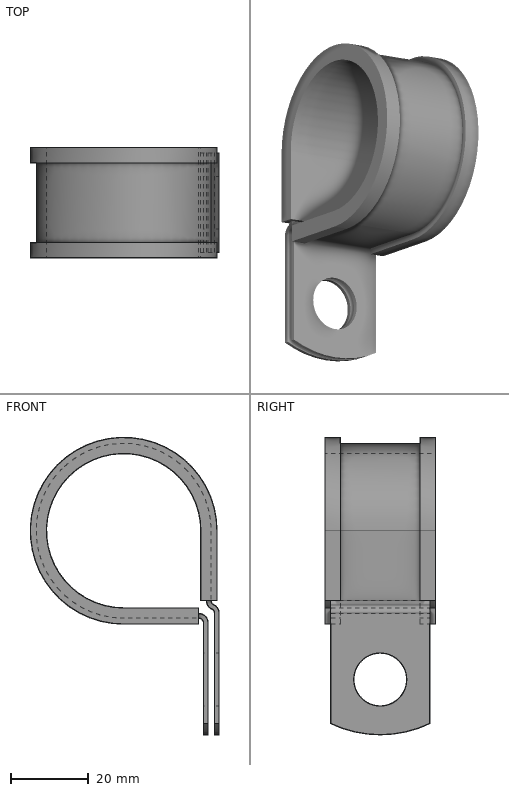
import cadquery as cq
import math

outer_radius = 24.0
cushion_thickness = 4.2
cushion_width = 28.45
flange_width = 4.0
down_leg_length = 18.0
side_leg_length = 19.3

strap_thickness = 1.2
strap_width = 25.55
strap_outer_radius = 22.5

outer_tab_face = 24.55
inner_tab_face = 21.7
tab_bottom = outer_radius - 76.5
tab_end_sagitta = 2.9
joggle_height = 3.2
hole_diameter = 13.5
hole_above_bottom = 14.2
envelope_depth = 2 * outer_radius

strap_inner_radius = strap_outer_radius - strap_thickness
bend_radius = inner_tab_face - side_leg_length
bend_inner_radius = bend_radius - strap_thickness
diagonal = math.sqrt(0.5)


def extrude_centered(outline, width):
    """Extrude an XZ outline by the given width, centered on Y = 0."""
    return outline.extrude(width / 2, both=True)


def wrapped_band(outer, inner, width):
    """Three-quarter ring with a straight leg at each end."""
    outline = (
        cq.Workplane("XZ")
        .moveTo(outer, -down_leg_length)
        .lineTo(outer, 0)
        .threePointArc((-outer * diagonal, outer * diagonal), (0, -outer))
        .lineTo(side_leg_length, -outer)
        .lineTo(side_leg_length, -inner)
        .lineTo(0, -inner)
        .threePointArc((-inner * diagonal, inner * diagonal), (inner, 0))
        .lineTo(inner, -down_leg_length)
        .close()
    )
    return extrude_centered(outline, width)


def cushion():
    body = wrapped_band(outer_radius, outer_radius - cushion_thickness, cushion_width)
    channel_width = cushion_width - 2 * flange_width
    return body.cut(wrapped_band(outer_radius, strap_outer_radius, channel_width))


def inner_tab():
    """Tab that turns a quarter circle down from the side leg."""
    bend_z = -strap_inner_radius - bend_radius
    outline = (
        cq.Workplane("XZ")
        .moveTo(side_leg_length, -strap_inner_radius)
        .radiusArc((inner_tab_face, bend_z), bend_radius)
        .lineTo(inner_tab_face, tab_bottom)
        .lineTo(inner_tab_face - strap_thickness, tab_bottom)
        .lineTo(inner_tab_face - strap_thickness, bend_z)
        .radiusArc((side_leg_length, -strap_outer_radius), -bend_inner_radius)
        .close()
    )
    return extrude_centered(outline, strap_width)


def outer_tab():
    """Tab that steps outward below the down leg through two equal, opposite arcs."""
    offset = outer_tab_face - strap_outer_radius
    bend_angle = 2 * math.atan(offset / joggle_height)
    center_radius = joggle_height / (2 * math.sin(bend_angle))
    small_radius = center_radius - strap_thickness / 2
    large_radius = center_radius + strap_thickness / 2
    joggle_bottom = -down_leg_length - joggle_height

    middle_x = (outer_tab_face + strap_outer_radius - strap_thickness) / 2
    middle_z = -down_leg_length - joggle_height / 2
    half_dx = strap_thickness / 2 * math.cos(bend_angle)
    half_dz = strap_thickness / 2 * math.sin(bend_angle)

    outline = (
        cq.Workplane("XZ")
        .moveTo(strap_outer_radius, -down_leg_length)
        .radiusArc((middle_x + half_dx, middle_z + half_dz), -small_radius)
        .radiusArc((outer_tab_face, joggle_bottom), large_radius)
        .lineTo(outer_tab_face, tab_bottom)
        .lineTo(outer_tab_face - strap_thickness, tab_bottom)
        .lineTo(outer_tab_face - strap_thickness, joggle_bottom)
        .radiusArc((middle_x - half_dx, middle_z - half_dz), -small_radius)
        .radiusArc((strap_inner_radius, -down_leg_length), large_radius)
        .close()
    )
    return extrude_centered(outline, strap_width)


def tab_face_envelope():
    """Round-ended block that limits the shape of both tabs in the YZ plane."""
    half_width = strap_width / 2
    corner_z = tab_bottom + tab_end_sagitta
    return (
        cq.Workplane("YZ")
        .moveTo(-half_width, corner_z)
        .threePointArc((0, tab_bottom), (half_width, corner_z))
        .lineTo(half_width, 0)
        .lineTo(-half_width, 0)
        .close()
        .extrude(envelope_depth)
    )


def bolt_hole():
    return (
        cq.Workplane("YZ")
        .center(0, tab_bottom + hole_above_bottom)
        .circle(hole_diameter / 2)
        .extrude(envelope_depth)
    )


def finish_tab(tab):
    return tab.intersect(tab_face_envelope()).cut(bolt_hole())


result = cushion().union(finish_tab(inner_tab())).union(finish_tab(outer_tab()))